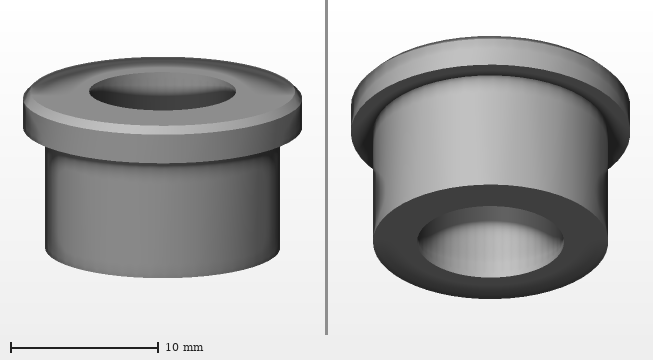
import cadquery as cq

flange_diameter = 19.0
body_diameter = 16.0
bore_diameter = 10.0
total_height = 11.0
flange_thickness = 2.5
flange_chamfer = 0.5

body_height = total_height - flange_thickness

body = cq.Workplane("XY").circle(body_diameter / 2).extrude(body_height)

flange = (
    cq.Workplane("XY")
    .workplane(offset=body_height)
    .circle(flange_diameter / 2)
    .extrude(flange_thickness)
    .faces(">Z")
    .edges()
    .chamfer(flange_chamfer)
)

bore = cq.Workplane("XY").circle(bore_diameter / 2).extrude(total_height)

result = body.union(flange).cut(bore)